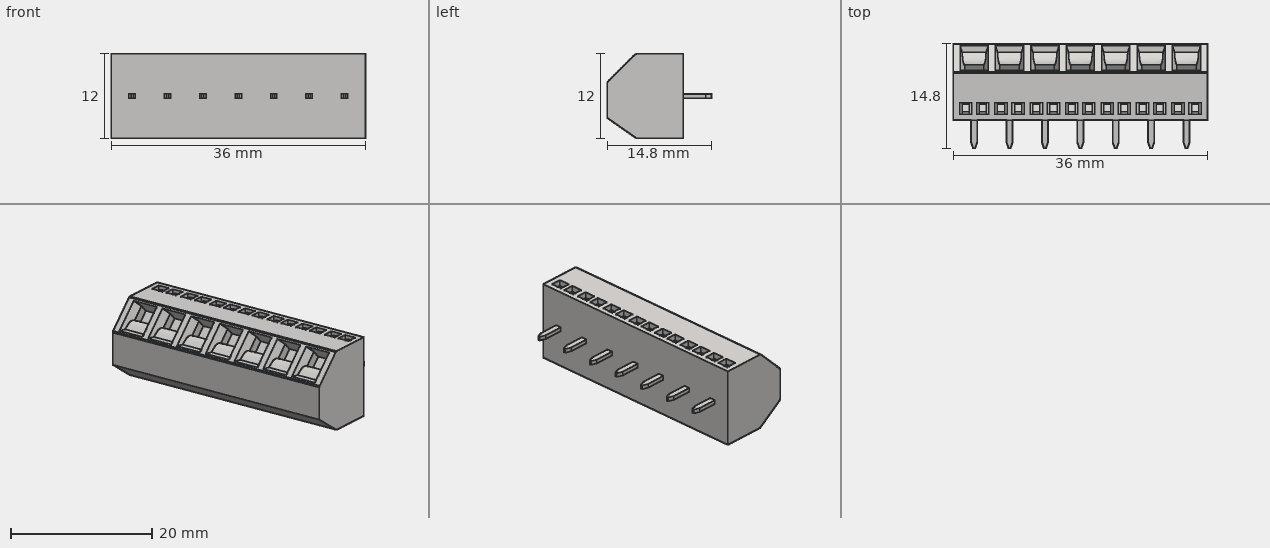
import cadquery as cq
import math

length = 36.0
depth = 10.8
height = 12.0
slope_start = 6.62
rear_low = 2.9
break_wide = 0.2
break_thin = 0.1

poles = 7
pitch = 5.0
pole_centers = [(i - (poles - 1) / 2) * pitch for i in range(poles)]

slope_front = (slope_start + break_wide, height - break_thin)
slope_run = depth - break_thin - slope_front[0]
slope_rear = (depth - break_thin, slope_front[1] - slope_run)

entry_width = 4.0
throat_width = 2.7
funnel_depth = 1.35
throat_depth = 2.88
entry_front = 7.05
entry_rear = 10.5
ledge_end = 9.58
ramp_end = 8.3
crest_end = 7.85
ramp_angle = 35.0
crest_rise = 0.05
lip_angle = 10.0
throat_angle = 35.0

socket_width = 1.73
socket_front = 0.85
socket_rear = 2.5
socket_depth = 0.95
socket_spacing = 2.4
wedge_width = 1.0
wedge_crest = 1.2
wedge_rear = 2.25
wedge_angle = 20.0

pin_width = 0.9
pin_thickness = 0.6
pin_length = 4.0
pin_taper = 0.85
pin_tip_width = 0.3


def tan(angle):
    return math.tan(math.radians(angle))


def slope_height(y):
    """Height of the upper slope at distance y from the front."""
    return slope_front[1] - (y - slope_front[0])


def prism_along_x(points, width):
    """Prism with a Y-Z outline, centered on X = 0."""
    return cq.Workplane("YZ", origin=(-width / 2, 0, 0)).polyline(points).close().extrude(width)


def make_body():
    outline = [
        (0, 0),
        (slope_start, 0),
        (depth, rear_low),
        (depth, slope_rear[1] - break_wide),
        slope_rear,
        slope_front,
        (slope_start, height),
        (0, height),
    ]
    return prism_along_x(outline, length)


def make_entry():
    """Stepped funnel, cut from side to side by a profile that narrows with depth."""
    ledge_z = slope_height(entry_rear)
    ramp_z = ledge_z + (ledge_end - ramp_end) * tan(ramp_angle)
    crest_z = ramp_z + crest_rise
    floor_drop = throat_depth * math.sqrt(2)
    crest_gap = slope_height(crest_end) - crest_z
    throat_run = (floor_drop - crest_gap) / (1 + tan(throat_angle))
    throat_y = crest_end - throat_run
    front_shift = throat_depth / math.sqrt(2)
    side = (
        cq.Workplane("YZ", origin=(-entry_width / 2, 0, 0))
        .moveTo(entry_rear, ledge_z)
        .lineTo(ledge_end, ledge_z)
        .spline(
            [(ramp_end, ramp_z), (crest_end, crest_z)],
            tangents=[(-1, tan(ramp_angle)), (-1, -tan(lip_angle))],
            includeCurrent=True,
        )
        .lineTo(throat_y, crest_z - throat_run * tan(throat_angle))
        .lineTo(entry_front - front_shift, slope_height(entry_front) - front_shift)
        .lineTo(entry_front, slope_height(entry_front))
        .close()
        .extrude(entry_width)
    )

    half_entry = entry_width / 2
    half_throat = throat_width / 2
    across_outline = [
        (-half_entry, 0),
        (-half_throat, -funnel_depth),
        (-half_throat, -throat_depth),
        (half_throat, -throat_depth),
        (half_throat, -funnel_depth),
        (half_entry, 0),
    ]
    across_plane = cq.Plane(
        origin=(0, slope_front[0], slope_front[1]), xDir=(1, 0, 0), normal=(0, -1, 1)
    )
    across = cq.Workplane(across_plane).polyline(across_outline).close().extrude(depth, both=True)
    return side.intersect(across)


def make_socket():
    """Rectangular socket with a wedge that rises toward the front standing on its floor."""
    floor_z = height - socket_depth
    crest_z = floor_z + (wedge_rear - wedge_crest) * tan(wedge_angle)
    socket = prism_along_x(
        [
            (socket_front, height),
            (socket_front, floor_z),
            (socket_rear, floor_z),
            (socket_rear, height),
        ],
        socket_width,
    )
    wedge = prism_along_x(
        [
            (socket_front, floor_z),
            (socket_front, crest_z),
            (wedge_crest, crest_z),
            (wedge_rear, floor_z),
        ],
        wedge_width,
    )
    return socket.cut(wedge)


def make_pin():
    half = pin_width / 2
    half_tip = pin_tip_width / 2
    shoulder_y = pin_taper - pin_length
    outline = [
        (-half, 0),
        (-half, shoulder_y),
        (-half_tip, -pin_length),
        (half_tip, -pin_length),
        (half, shoulder_y),
        (half, 0),
    ]
    pin = cq.Workplane("XY").polyline(outline).close().extrude(pin_thickness / 2, both=True)
    return pin.translate((0, 0, height / 2))


result = make_body()
entry = make_entry()
socket = make_socket()
pin = make_pin()
for x in pole_centers:
    result = result.cut(entry.translate((x, 0, 0)))
    for side in (-1, 1):
        result = result.cut(socket.translate((x + side * socket_spacing / 2, 0, 0)))
    result = result.union(pin.translate((x, 0, 0)))